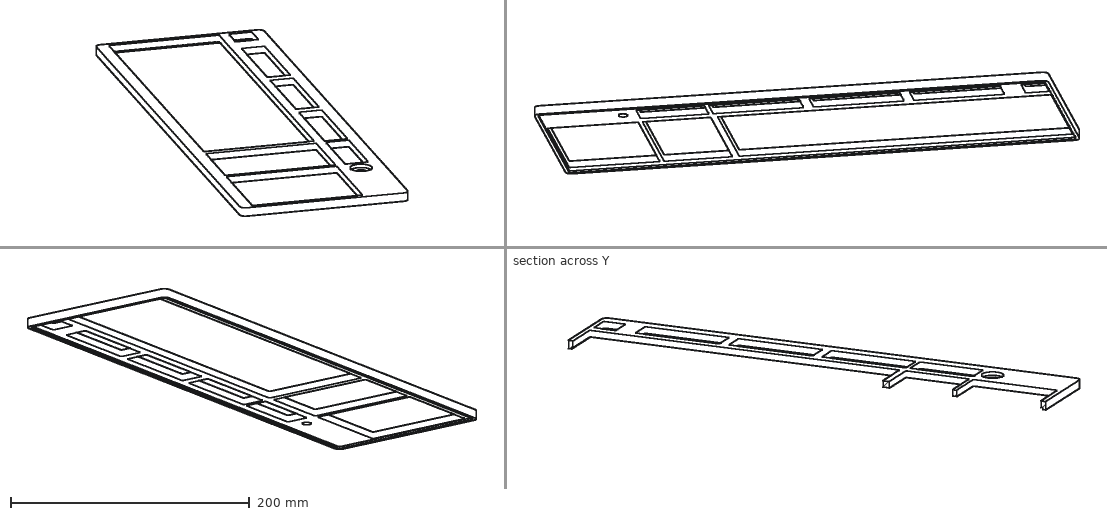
import cadquery as cq

length = 438.72
width = 146.73
thickness = 7.5
corner_radius = 5.0

rim = 3.0
recess_depth = 1.6

pitch = 19.05
grid_columns = 22.5
clearance = 1.0
opening_radius = 1.0
grid_x = (length - grid_columns * pitch) / 2
grid_y = 11.5

block_rows = 5
main_columns = 15
main_narrowing = 2.2
nav_column = 15.25
nav_columns = 3
numpad_column = 18.5
numpad_columns = 4

function_row = 5.5
function_group_column = 2
function_group_columns = 4
function_group_step = 4.5
function_group_count = 3

knob_diameter = 18.5
knob_bore = 7.5
knob_depth = 3.0
knob_x = 366.3
knob_y = grid_y + (function_row + 0.5) * pitch


def make_plate():
    plate = cq.Workplane("XY").box(length, width, thickness, centered=False)
    return plate.edges("|Z").fillet(corner_radius)


def make_recess():
    recess = cq.Workplane("XY").box(length - 2 * rim, width - 2 * rim, recess_depth, centered=False)
    return recess.translate((rim, rim, 0)).edges("|Z").fillet(corner_radius - rim)


def make_opening(column, row, columns, rows, narrowing=0.0):
    """Through opening for a block of keys, with clearance around it; narrowing trims its right side."""
    opening_length = columns * pitch + clearance - narrowing
    opening_width = rows * pitch + clearance
    opening = cq.Workplane("XY").box(opening_length, opening_width, thickness, centered=False)
    corner_x = grid_x + column * pitch - clearance / 2
    corner_y = grid_y + row * pitch - clearance / 2
    return opening.edges("|Z").fillet(opening_radius).translate((corner_x, corner_y, 0))


def cut_key_blocks(plate):
    plate = plate.cut(make_opening(0, 0, main_columns, block_rows, main_narrowing))
    plate = plate.cut(make_opening(nav_column, 0, nav_columns, block_rows))
    return plate.cut(make_opening(numpad_column, 0, numpad_columns, block_rows))


def cut_function_row(plate):
    plate = plate.cut(make_opening(0, function_row, 1, 1))
    for group in range(function_group_count):
        column = function_group_column + group * function_group_step
        plate = plate.cut(make_opening(column, function_row, function_group_columns, 1))
    return plate.cut(make_opening(nav_column, function_row, nav_columns, 1))


def cut_knob_hole(plate):
    top = plate.faces(">Z").workplane(origin=(knob_x, knob_y, thickness))
    return top.cboreHole(knob_bore, knob_diameter, knob_depth)


result = make_plate().cut(make_recess())
result = cut_key_blocks(result)
result = cut_function_row(result)
result = cut_knob_hole(result)